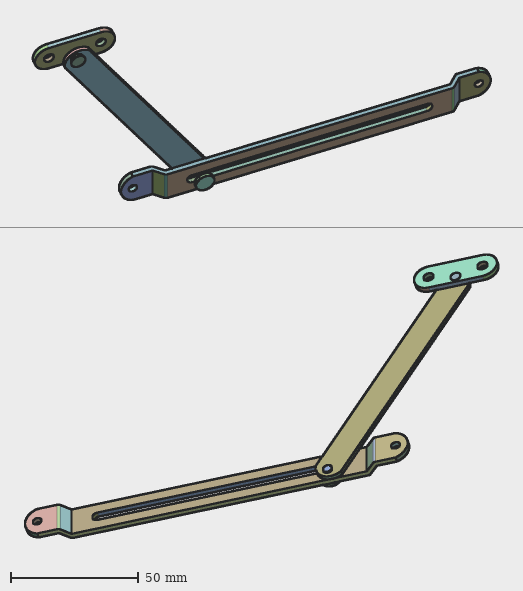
import cadquery as cq
import math

plate_thickness = 2.3
arm_thickness = 1.7
rail_thickness = 2.3
arm_back = plate_thickness
arm_front = arm_back + arm_thickness
rail_front = arm_front + rail_thickness

plate_length = 34.0
plate_height = 12.0
plate_hole_spacing = 22.0
plate_hole_diameter = 4.0
plate_top = 104.9
plate_center_y = plate_length / 2
plate_center_z = plate_top - plate_height / 2

arm_width = 12.0
arm_angle = 60.0
pivot_distance = 106.0
arm_end_margin = 3.7
arm_end_rise = 4.3
lower_pivot_z = 4.0
upper_pivot_y = plate_center_y
lower_pivot_y = upper_pivot_y + pivot_distance * math.cos(math.radians(arm_angle))
upper_pivot_z = lower_pivot_z + pivot_distance * math.sin(math.radians(arm_angle))

overall_length = 193.5
rail_length = 157.0
rail_height = 14.0
rail_end_rise = 5.0
rail_hole_inset = 5.0
rail_hole_diameter = 3.5
rail_foot_length = 13.4
bend_stagger = 0.5
bend_radius = 1.65
rail_bottom = 0.2
slot_inset = 26.5
slot_width = 4.0
rail_center_y = overall_length - rail_length / 2
rail_center_z = rail_bottom + rail_height / 2

upper_pin_diameter = 4.0
upper_neck_diameter = 5.0
upper_head_diameter = 6.0
upper_head_thickness = 1.7
lower_pin_diameter = 3.7
lower_pin_protrusion = 0.5
lower_head_diameter = 8.0
lower_head_thickness = 1.5


def cylinder(diameter, y, z, x_start, x_end):
    """Round bar along X."""
    return (
        cq.Workplane("YZ", origin=(x_start, y, z))
        .circle(diameter / 2)
        .extrude(x_end - x_start)
    )


def arc_ended_strip(length, width, rise, thickness):
    """Strip centred on the YZ plane's origin, long in Y, with a shallow arc at each end."""
    tip = length / 2
    shoulder = tip - rise
    side = width / 2
    return (
        cq.Workplane("YZ")
        .moveTo(-shoulder, -side)
        .lineTo(shoulder, -side)
        .threePointArc((tip, 0), (shoulder, side))
        .lineTo(-shoulder, side)
        .threePointArc((-tip, 0), (-shoulder, -side))
        .close()
        .extrude(thickness)
    )


def make_plate():
    plate = (
        cq.Workplane("YZ", origin=(0, plate_center_y, plate_center_z))
        .slot2D(plate_length, plate_height)
        .extrude(plate_thickness)
    )
    for side in (-1, 1):
        hole_y = plate_center_y + side * plate_hole_spacing / 2
        plate = plate.cut(cylinder(plate_hole_diameter, hole_y, plate_center_z, 0, plate_thickness))
    return plate.cut(cylinder(upper_pin_diameter, upper_pivot_y, upper_pivot_z, 0, plate_thickness))


def make_arm():
    arm_length = pivot_distance + 2 * arm_end_margin
    arm = (
        arc_ended_strip(arm_length, arm_width, arm_end_rise, arm_thickness)
        .rotate((0, 0, 0), (1, 0, 0), -arm_angle)
        .translate((arm_back, (lower_pivot_y + upper_pivot_y) / 2, (lower_pivot_z + upper_pivot_z) / 2))
    )
    arm = arm.cut(cylinder(lower_pin_diameter, lower_pivot_y, lower_pivot_z, arm_back, arm_front))
    return arm.cut(cylinder(upper_pin_diameter, upper_pivot_y, upper_pivot_z, arm_back, arm_front))


def make_bent_sheet():
    """Sheet with a 45 degree joggle near each end, symmetric about Y = 0."""
    end = rail_length / 2
    foot_front_y = end - rail_foot_length
    foot_back_y = foot_front_y - bend_stagger
    middle_front_y = foot_front_y - arm_front
    middle_back_y = foot_back_y - arm_front
    back = [(0, end), (0, foot_back_y), (arm_front, middle_back_y)]
    front = [(rail_front, middle_front_y), (rail_thickness, foot_front_y), (rail_thickness, end)]

    def mirrored(points):
        return [(x, -y) for x, y in reversed(points)]

    sheet = (
        cq.Workplane("XY")
        .polyline(back + mirrored(back) + mirrored(front) + front)
        .close()
        .extrude(rail_height)
    )
    outer_corners = [(0, foot_back_y), (rail_front, middle_front_y)]
    for x, y in outer_corners + mirrored(outer_corners):
        sheet = sheet.edges(cq.selectors.NearestToPointSelector((x, y, rail_height / 2))).fillet(bend_radius)
    return sheet


def make_rail():
    outline = arc_ended_strip(rail_length, rail_height, rail_end_rise, rail_front)
    sheet = make_bent_sheet().translate((0, 0, -rail_height / 2))
    rail = sheet.intersect(outline).translate((0, rail_center_y, rail_center_z))
    slot = (
        cq.Workplane("YZ", origin=(arm_front, rail_center_y, rail_center_z))
        .slot2D(rail_length - 2 * slot_inset, slot_width)
        .extrude(rail_thickness)
    )
    rail = rail.cut(slot)
    for side in (-1, 1):
        hole_y = rail_center_y + side * (rail_length / 2 - rail_hole_inset)
        rail = rail.cut(cylinder(rail_hole_diameter, hole_y, rail_center_z, 0, rail_thickness))
    return rail.cut(cylinder(lower_pin_diameter, lower_pivot_y, lower_pivot_z, arm_front, rail_front))


def make_upper_rivet():
    """Pin flush with the plate's back, with a head that widens away from the arm."""
    pin = cylinder(upper_pin_diameter, upper_pivot_y, upper_pivot_z, 0, arm_front)
    head = (
        cq.Workplane("YZ", origin=(arm_front, upper_pivot_y, upper_pivot_z))
        .circle(upper_neck_diameter / 2)
        .workplane(offset=upper_head_thickness)
        .circle(upper_head_diameter / 2)
        .loft(ruled=True)
    )
    return pin.union(head)


def make_lower_rivet():
    """Pin through arm and rail, with a flat head on the rail."""
    pin_start = arm_back - lower_pin_protrusion
    head_end = rail_front + lower_head_thickness
    pin = cylinder(lower_pin_diameter, lower_pivot_y, lower_pivot_z, pin_start, rail_front)
    head = cylinder(lower_head_diameter, lower_pivot_y, lower_pivot_z, rail_front, head_end)
    return pin.union(head)


plate = make_plate()
arm = make_arm()
rail = make_rail()
upper_rivet = make_upper_rivet()
lower_rivet = make_lower_rivet()

result = cq.Compound.makeCompound(
    [plate.val(), arm.val(), rail.val(), upper_rivet.val(), lower_rivet.val()]
)